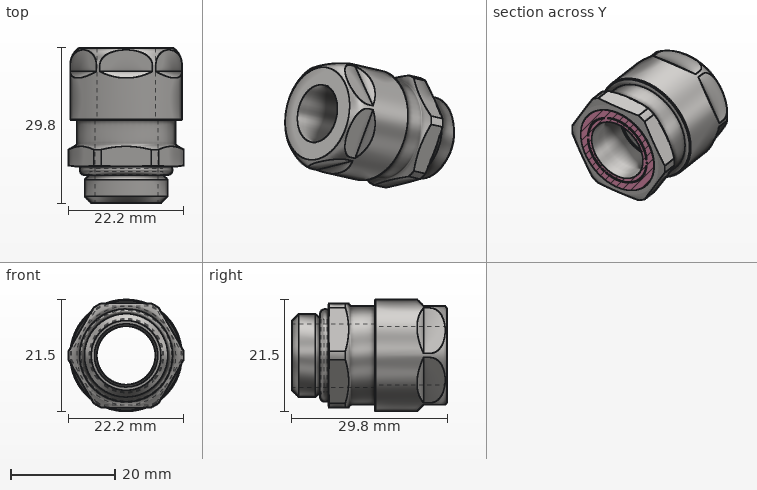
import cadquery as cq
import math

LENGTH = 29.8
SIDES = 6

STUB_BORE_DIA = 12.15
CAP_BORE_DIA = 11.2

STUB_DIA = 16.0
STUB_LEAD_CHAMFER = 1.3
STUB_END = 4.5
UNDERCUT_DIA = 13.93

RING_DIA = 17.85
RING_SECTION_DIA = 2.0
RING_START = 5.36

FLANGE_SEAT = 7.0
FLANGE_ACROSS_FLATS = 20.0
FLANGE_CORNER_DIA = 22.2
FLANGE_SEAT_DIA = 19.4
FLANGE_SEAT_ANGLE = 8.0
FLANGE_BACK_EDGE = 10.25
FLANGE_BACK_ANGLE = 30.0

BODY_DIA = 19.0
BODY_ROOT_FILLET = 0.4

CAP_START = 15.85
CAP_DIA = 21.5
CAP_EDGE_CHAMFER = 0.2
CAP_ACROSS_FLATS = 19.0
CAP_FLAT_START = 25.25
CAP_ROUND_RADIUS = 4.0
CAP_ROUND_LENGTH = 3.3


def cylinder(diameter, start, end):
    """Cylinder along +Y between two stations."""
    return cq.Workplane("XZ", origin=(0, start, 0)).circle(diameter / 2).extrude(start - end)


def turned(profile):
    """Solid of revolution about Y from a closed (radius, station) outline."""
    return profile.close().revolve(360, (0, 0, 0), (0, 1, 0))


def make_stub():
    radius = STUB_DIA / 2
    undercut_radius = UNDERCUT_DIA / 2
    undercut_start = STUB_END + radius - undercut_radius
    outline = (
        cq.Workplane("XY")
        .moveTo(0, 0)
        .lineTo(radius - STUB_LEAD_CHAMFER, 0)
        .lineTo(radius, STUB_LEAD_CHAMFER)
        .lineTo(radius, STUB_END)
        .lineTo(undercut_radius, undercut_start)
        .lineTo(undercut_radius, FLANGE_BACK_EDGE)
        .lineTo(0, FLANGE_BACK_EDGE)
    )
    return turned(outline)


def make_ring():
    section_radius = RING_SECTION_DIA / 2
    center_radius = RING_DIA / 2 - section_radius
    section_plane = cq.Plane(
        origin=(center_radius, RING_START + section_radius, 0),
        xDir=(-1, 0, 0),
        normal=(0, 0, 1),
    )
    section = cq.Workplane(section_plane).circle(section_radius)
    return section.revolve(360, (center_radius, 0, 0), (center_radius, 1, 0))


def make_flange():
    """Hexagon with rounded corners, coned on both faces; the back cone blends into the body."""
    corner_radius = FLANGE_CORNER_DIA / 2
    body_radius = BODY_DIA / 2
    seat_radius = FLANGE_SEAT_DIA / 2
    seat_slope = math.tan(math.radians(FLANGE_SEAT_ANGLE))
    back_angle = math.radians(FLANGE_BACK_ANGLE)
    front_edge = FLANGE_SEAT + (corner_radius - seat_radius) * seat_slope
    cone_end = FLANGE_BACK_EDGE + (corner_radius - body_radius) * math.tan(back_angle)

    turn = math.pi / 2 - back_angle
    tangent = BODY_ROOT_FILLET * math.tan(turn / 2)
    fillet_end = cone_end + tangent
    mid_angle = turn / 2
    fillet_mid = (
        body_radius + BODY_ROOT_FILLET * (1 - math.cos(mid_angle)),
        fillet_end - BODY_ROOT_FILLET * math.sin(mid_angle),
    )
    outline = (
        cq.Workplane("XY")
        .moveTo(0, FLANGE_SEAT)
        .lineTo(seat_radius, FLANGE_SEAT)
        .lineTo(corner_radius, front_edge)
        .lineTo(corner_radius, FLANGE_BACK_EDGE)
        .lineTo(body_radius + tangent * math.cos(back_angle), cone_end - tangent * math.sin(back_angle))
        .threePointArc(fillet_mid, (body_radius, fillet_end))
        .lineTo(0, fillet_end)
    )
    hexagon = (
        cq.Workplane("XZ", origin=(0, FLANGE_SEAT, 0))
        .polygon(SIDES, FLANGE_ACROSS_FLATS / math.cos(math.pi / SIDES))
        .extrude(FLANGE_SEAT - fillet_end)
    )
    return turned(outline).intersect(hexagon)


def make_cap():
    """Cylinder with a rounded outer end and six wrench flats that run out on 45 degree ramps."""
    radius = CAP_DIA / 2
    round_start = LENGTH - CAP_ROUND_LENGTH
    round_center = radius - CAP_ROUND_RADIUS

    def round_point(angle):
        return (
            round_center + CAP_ROUND_RADIUS * math.cos(angle),
            round_start + CAP_ROUND_RADIUS * math.sin(angle),
        )

    sweep = math.asin(CAP_ROUND_LENGTH / CAP_ROUND_RADIUS)
    outline = (
        cq.Workplane("XY")
        .moveTo(0, CAP_START)
        .lineTo(radius - CAP_EDGE_CHAMFER, CAP_START)
        .lineTo(radius, CAP_START + CAP_EDGE_CHAMFER)
        .lineTo(radius, round_start)
        .threePointArc(round_point(sweep / 2), round_point(sweep))
        .lineTo(0, LENGTH)
    )
    cap = turned(outline)

    flat_height = CAP_ACROSS_FLATS / 2
    ramp = radius
    flat_cutter = (
        cq.Workplane("YZ")
        .moveTo(CAP_FLAT_START, flat_height)
        .lineTo(LENGTH, flat_height)
        .lineTo(LENGTH, flat_height + ramp)
        .lineTo(CAP_FLAT_START - ramp, flat_height + ramp)
        .close()
        .extrude(radius, both=True)
    )
    for side in range(SIDES):
        cap = cap.cut(flat_cutter.rotate((0, 0, 0), (0, 1, 0), side * 360 / SIDES))
    return cap


body = cylinder(BODY_DIA, FLANGE_BACK_EDGE, CAP_START)
outside = make_stub().union(make_ring()).union(make_flange()).union(body).union(make_cap())
stub_bore = cylinder(STUB_BORE_DIA, 0, CAP_START)
cap_bore = cylinder(CAP_BORE_DIA, 0, LENGTH)
result = outside.cut(stub_bore).cut(cap_bore)